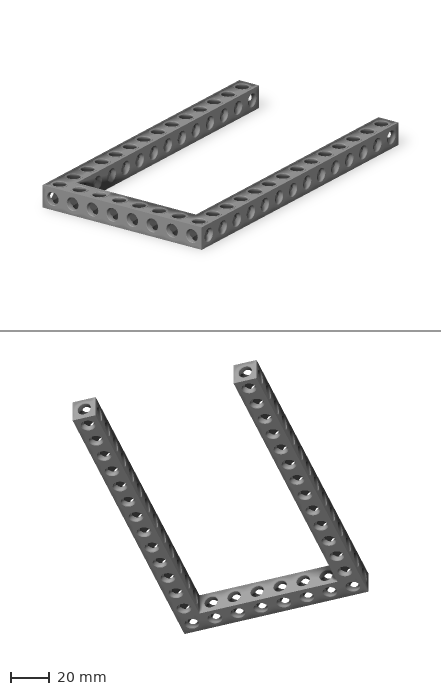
import cadquery as cq

frame_length = 175.0
row_count = 14
column_count = 8
pitch = frame_length / row_count
frame_width = column_count * pitch

hole_diameter = 7.0
mouth_chamfer = 0.26
ring_diameter = 9.3
rim_width = 1.2
recess_depth = 0.2
recess_level = pitch - recess_depth
hole_level = pitch / 2

column_positions = [(i - (column_count - 1) / 2) * pitch for i in range(column_count)]
row_positions = [(j - (row_count - 1) / 2) * pitch for j in range(row_count)]
crossbar_y = row_positions[0]
arm_columns = (column_positions[0], column_positions[-1])
arm_rows = row_positions[1:]

vertical_hole_points = [(x, crossbar_y) for x in column_positions]
vertical_hole_points += [(x, y) for x in arm_columns for y in arm_rows]


def u_block(inset, bottom, height):
    """U-shaped slab open toward +Y, its outline pulled in by inset on every side."""
    beam_width = pitch - 2 * inset
    slab_width = frame_width - 2 * inset
    slab_length = frame_length - 2 * inset
    slab = cq.Workplane("XY").box(slab_width, slab_length, height, centered=(True, True, False))
    opening = (
        cq.Workplane("XY")
        .center(0, beam_width)
        .box(slab_width - 2 * beam_width, slab_length, height, centered=(True, True, False))
    )
    return slab.cut(opening).translate((0, 0, bottom))


def hole_tool(length):
    """Cutter along +Z from the origin, flared at both ends to chamfer the hole mouths."""
    radius = hole_diameter / 2
    mouth_radius = radius + mouth_chamfer
    half_profile = [
        (0, 0),
        (mouth_radius, 0),
        (radius, mouth_chamfer),
        (radius, length - mouth_chamfer),
        (mouth_radius, length),
        (0, length),
    ]
    return cq.Workplane("XZ").polyline(half_profile).close().revolve(360, (0, 0, 0), (0, 1, 0))


def along_y(tool):
    """Turn a +Z cutter to point along +Y."""
    return tool.rotate((0, 0, 0), (1, 0, 0), -90)


def along_x(tool):
    """Turn a +Z cutter to point along +X."""
    return tool.rotate((0, 0, 0), (0, 1, 0), 90)


rings = (
    cq.Workplane("XY", origin=(0, 0, recess_level))
    .pushPoints(vertical_hole_points)
    .circle(ring_diameter / 2)
    .extrude(recess_depth)
)
recess = u_block(rim_width, recess_level, recess_depth).cut(rings)
frame = u_block(0, 0, pitch).cut(recess)

short_tool = hole_tool(pitch)
short_y_tool = along_y(short_tool)
long_y_tool = along_y(hole_tool(frame_length))
short_x_tool = along_x(short_tool)
long_x_tool = along_x(hole_tool(frame_width))

cutters = [short_tool.translate((x, y, 0)) for x, y in vertical_hole_points]
for x in column_positions:
    y_tool = long_y_tool if x in arm_columns else short_y_tool
    cutters.append(y_tool.translate((x, -frame_length / 2, hole_level)))
for arm_x in arm_columns:
    for y in arm_rows:
        cutters.append(short_x_tool.translate((arm_x - pitch / 2, y, hole_level)))
cutters.append(long_x_tool.translate((-frame_width / 2, crossbar_y, hole_level)))

for cutter in cutters:
    frame = frame.cut(cutter)

result = frame